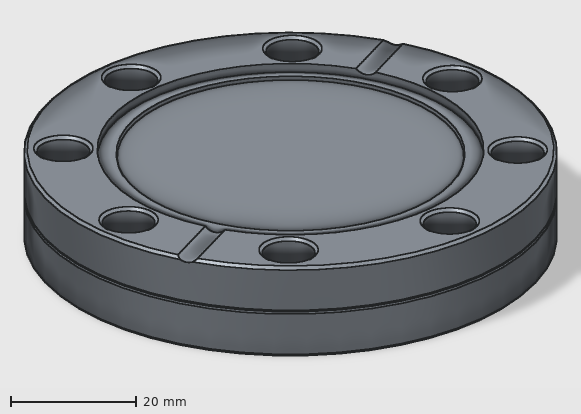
import cadquery as cq
import math

flange_radius = 85.1 / 2
thickness = 16.0
edge_chamfer = 0.5

rim_groove_middle = thickness / 2
rim_groove_width = 0.7
rim_groove_depth = 0.2

recess_radius = 61.7 / 2
recess_depth = 1.5
knife_radius = 55.65 / 2
knife_depth = 0.8
floor_radius = knife_radius - 0.2
floor_depth = 1.4

bolt_count = 8
bolt_circle_radius = 72.5 / 2
bolt_diameter = 8.4
bolt_chamfer = 0.5

leak_width = 3.4
leak_depth = 0.8
leak_radius = ((leak_width / 2) ** 2 + leak_depth**2) / (2 * leak_depth)


def make_body():
    """Revolve the half section of the flange about Z."""
    return (
        cq.Workplane("XZ")
        .moveTo(0, 0)
        .lineTo(flange_radius - edge_chamfer, 0)
        .lineTo(flange_radius, edge_chamfer)
        .lineTo(flange_radius, rim_groove_middle - rim_groove_width / 2)
        .lineTo(flange_radius - rim_groove_depth, rim_groove_middle)
        .lineTo(flange_radius, rim_groove_middle + rim_groove_width / 2)
        .lineTo(flange_radius, thickness - edge_chamfer)
        .lineTo(flange_radius - edge_chamfer, thickness)
        .lineTo(recess_radius, thickness)
        .lineTo(recess_radius, thickness - recess_depth)
        .lineTo(knife_radius, thickness - knife_depth)
        .lineTo(floor_radius, thickness - floor_depth)
        .lineTo(0, thickness - floor_depth)
        .close()
        .revolve(360, (0, 0), (0, 1))
    )


def make_bolt_cutter():
    """Through hole with a conical entry at the top, standing on the Z axis."""
    bolt_radius = bolt_diameter / 2
    return (
        cq.Workplane("XZ")
        .moveTo(0, 0)
        .lineTo(bolt_radius, 0)
        .lineTo(bolt_radius, thickness - bolt_chamfer)
        .lineTo(bolt_radius + bolt_chamfer, thickness)
        .lineTo(0, thickness)
        .close()
        .revolve(360, (0, 0), (0, 1))
    )


def make_leak_cutter(side):
    """Cylinder along Y from the recess past the rim; side is +1 or -1."""
    inner_end = (knife_radius + recess_radius) / 2
    length = flange_radius - inner_end + leak_radius
    return cq.Workplane(
        cq.Solid.makeCylinder(
            leak_radius,
            length,
            cq.Vector(0, side * inner_end, thickness - leak_depth + leak_radius),
            cq.Vector(0, side, 0),
        )
    )


result = make_body()

bolt_cutter = make_bolt_cutter()
bolt_pitch = 2 * math.pi / bolt_count
for index in range(bolt_count):
    angle = (index + 0.5) * bolt_pitch
    x = bolt_circle_radius * math.cos(angle)
    y = bolt_circle_radius * math.sin(angle)
    result = result.cut(bolt_cutter.translate((x, y, 0)))

for side in (1, -1):
    result = result.cut(make_leak_cutter(side))